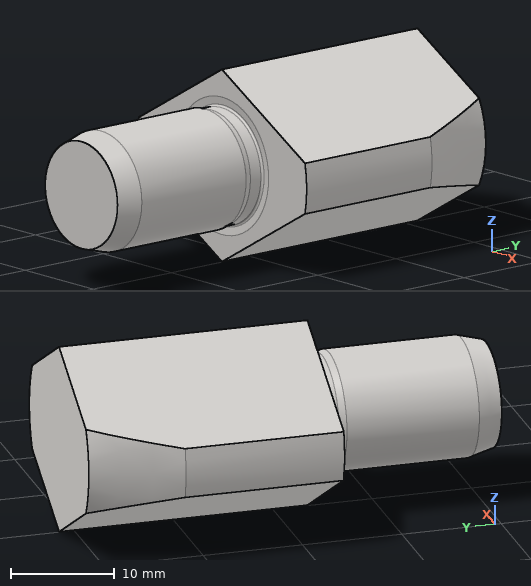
import cadquery as cq
import math

total_length = 43.0
head_length = 25.03
head_diameter = 24.95
head_height = 19.15
flat_angle = 30.0
lead_in_length = 9.05
taper_angle = 15.0

shank_diameter = 12.0
tip_length = 2.5

undercut_diameter = 11.6
undercut_length = 2.15
undercut_depth = 0.15
undercut_fillet = 0.2
recess_diameter = 13.67

head_radius = head_diameter / 2
shank_radius = shank_diameter / 2
undercut_radius = undercut_diameter / 2
shank_length = total_length - head_length
taper_slope = math.tan(math.radians(taper_angle))


def pin_blank():
    """Turned profile (radius, Y) of the whole pin, revolved about Y."""
    lead_in_radius = head_radius - lead_in_length * taper_slope
    tip_radius = shank_radius - tip_length * taper_slope
    run_out_length = (shank_radius - undercut_radius) / taper_slope
    fillet_offset = undercut_fillet * (1 - math.sqrt(0.5))
    fillet_middle = (undercut_radius + fillet_offset, undercut_depth - fillet_offset)
    profile = (
        cq.Workplane("XY")
        .moveTo(0, head_length)
        .lineTo(lead_in_radius, head_length)
        .lineTo(head_radius, head_length - lead_in_length)
        .lineTo(head_radius, 0)
        .lineTo(recess_diameter / 2, 0)
        .lineTo(undercut_radius + undercut_fillet, undercut_depth)
        .threePointArc(fillet_middle, (undercut_radius, undercut_depth - undercut_fillet))
        .lineTo(undercut_radius, run_out_length - undercut_length)
        .lineTo(shank_radius, -undercut_length)
        .lineTo(shank_radius, tip_length - shank_length)
        .lineTo(tip_radius, -shank_length)
        .lineTo(0, -shank_length)
        .close()
    )
    return profile.revolve(360, (0, 0, 0), (0, 1, 0))


def diamond_envelope():
    """Rhombic bar along Y whose sides form the four head flats."""
    half_height = head_height / 2
    half_width = half_height / math.tan(math.radians(flat_angle))
    corners = [(half_width, 0), (0, half_height), (-half_width, 0), (0, -half_height)]
    return (
        cq.Workplane("XZ", origin=(0, head_length, 0))
        .polyline(corners)
        .close()
        .extrude(total_length)
    )


result = pin_blank().intersect(diamond_envelope())